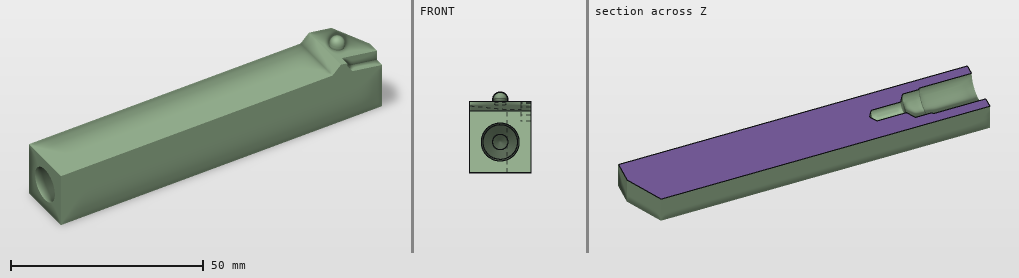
import cadquery as cq
import math

length = 97.5
width = 16.0
shank_height = 16.0

tip_height = 16.4
ridge_height = 18.5
ridge_setback = 12.5
foot_setback = 15.0
corner_cut_width = 9.75
corner_cut_angle = 30.0

seat_width = 2.6
seat_depth = 2.9
seat_floor_length = 9.0
seat_wall_setback = 10.4
seat_chamfer_setback = 10.6
seat_ramp_angle = 45.0

pin_diameter = 4.0
pin_setback = 8.8
pin_top = 21.0

bore_steps = [(9.8, 14.6), (9.0, 19.5), (4.0, 29.25)]
drill_point_angle = 118.0
bore_height = shank_height / 2

tip_y = length / 2
end_y = -length / 2
side_x = width / 2
slope = (ridge_height - tip_height) / ridge_setback
slope_angle = math.atan(slope)


def face_height(setback):
    """Height of the climbing face at a distance back from the tip."""
    return tip_height + slope * setback


def side_extrusion(points, start_x, span):
    """Extrude a (y, z) outline along +X from start_x."""
    return cq.Workplane("YZ").workplane(offset=start_x).polyline(points).close().extrude(span)


def make_body():
    outline = [
        (end_y, 0),
        (tip_y, 0),
        (tip_y, tip_height),
        (tip_y - ridge_setback, ridge_height),
        (tip_y - foot_setback, shank_height),
        (end_y, shank_height),
    ]
    return side_extrusion(outline, -side_x, width)


def make_corner_cut():
    cut_length = corner_cut_width * math.tan(math.radians(corner_cut_angle))
    corner = [
        (-side_x, tip_y),
        (-side_x + corner_cut_width, tip_y),
        (-side_x, tip_y - cut_length),
    ]
    return cq.Workplane("XY").polyline(corner).close().extrude(ridge_height)


def make_seat():
    """Seat with a floor parallel to the climbing face, a rear ramp, an upright wall and a chamfered rim."""
    ramp_slope = math.tan(slope_angle + math.radians(seat_ramp_angle))
    floor_end_height = face_height(seat_floor_length) - seat_depth
    wall_foot_height = floor_end_height + ramp_slope * (seat_wall_setback - seat_floor_length)
    rim_height = face_height(seat_chamfer_setback)
    wall_top_height = rim_height - ramp_slope * (seat_chamfer_setback - seat_wall_setback)
    outline = [
        (tip_y, tip_height),
        (tip_y, tip_height - seat_depth),
        (tip_y - seat_floor_length, floor_end_height),
        (tip_y - seat_wall_setback, wall_foot_height),
        (tip_y - seat_wall_setback, wall_top_height),
        (tip_y - seat_chamfer_setback, rim_height),
    ]
    return side_extrusion(outline, side_x - seat_width, seat_width)


def make_pin():
    radius = pin_diameter / 2
    dome_center = cq.Vector(0, tip_y - pin_setback, pin_top - radius)
    axis = cq.Vector(0, math.sin(slope_angle), math.cos(slope_angle))
    stem_length = pin_diameter
    stem = cq.Solid.makeCylinder(radius, stem_length, dome_center - axis * stem_length, axis)
    dome = cq.Workplane("XY").sphere(radius).translate(dome_center)
    return dome.union(cq.Workplane(stem))


def make_drilling(diameter, depth):
    """Drilled hole with a conical bottom, along +Y from the -Y end."""
    radius = diameter / 2
    point_length = radius / math.tan(math.radians(drill_point_angle / 2))
    half_section = [
        (0, end_y),
        (radius, end_y),
        (radius, end_y + depth),
        (0, end_y + depth + point_length),
    ]
    profile = cq.Workplane("XY").polyline(half_section).close()
    return profile.revolve(360, (0, 0, 0), (0, 1, 0)).translate((0, 0, bore_height))


result = (
    make_body()
    .cut(make_corner_cut())
    .cut(make_seat())
    .union(make_pin())
)
for step_diameter, step_depth in bore_steps:
    result = result.cut(make_drilling(step_diameter, step_depth))